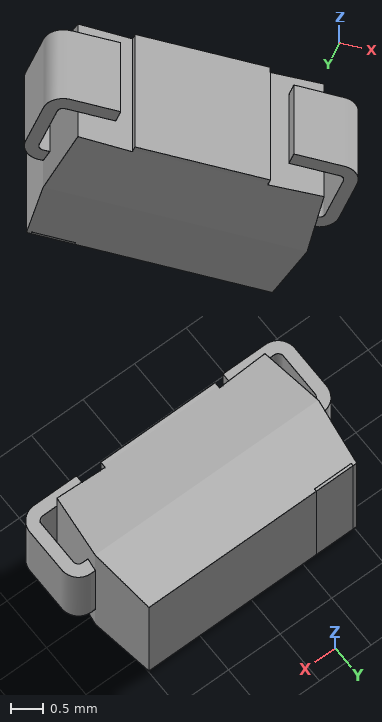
import cadquery as cq
import math

overall_length = 5.14
body_length = 4.33
body_height = 2.56
half_depth = 1.165
end_draft = 7.2
side_draft = 5.0

pad_width = 2.22
pad_projection = 0.075
relief_depth = 0.035

mark_left = -1.945
mark_width = 0.715
mark_depth = 0.045

lead_width = 1.44
lead_thickness = 0.225
bend_radius = 0.325
foot_length = 1.15
foot_bottom = 1.455

face_length = body_length - 2 * half_depth * math.tan(math.radians(end_draft))
face_height = body_height - 2 * half_depth * math.tan(math.radians(side_draft))


def box_between(x_range, y_range, z_range):
    """Axis-aligned box from the low and high limit on each axis."""
    low = [limits[0] for limits in (x_range, y_range, z_range)]
    size = [limits[1] - limits[0] for limits in (x_range, y_range, z_range)]
    return cq.Workplane("XY").box(*size, centered=False).translate(tuple(low))


def make_tapered_half(direction):
    """Half of the molding, from the parting plane to Y = direction * half_depth."""
    return (
        cq.Workplane("XZ")
        .rect(body_length, body_height)
        .workplane(offset=-direction * half_depth)
        .rect(face_length, face_height)
        .loft(ruled=True, combine=True)
    )


def make_relief(side):
    """Wedge removed from the front face between the pad and one body end."""
    pad_edge = side * pad_width / 2
    face_end = side * face_length / 2
    return (
        cq.Workplane("XY")
        .moveTo(pad_edge, -half_depth)
        .lineTo(pad_edge, -half_depth + relief_depth)
        .lineTo(face_end, -half_depth)
        .close()
        .extrude(body_height / 2, both=True)
    )


def make_molding():
    """Complete molding, including the volume taken by the polarity mark."""
    molding = make_tapered_half(1).union(make_tapered_half(-1))
    for side in (-1, 1):
        molding = molding.cut(make_relief(side))
    pad = box_between(
        (-pad_width / 2, pad_width / 2),
        (-half_depth - pad_projection, -half_depth + relief_depth),
        (-face_height / 2, face_height / 2),
    )
    return molding.union(pad)


def make_mark_region():
    """Full-height slab at the back face that separates mark from housing."""
    return box_between(
        (mark_left, mark_left + mark_width),
        (half_depth - mark_depth, half_depth),
        (-body_height / 2, body_height / 2),
    )


def make_lead(side, molding):
    """C-shaped lead that ends against the drafted end face of the molding."""
    outer_x = overall_length / 2
    inner_x = outer_x - lead_thickness
    foot_x = outer_x - foot_length
    root_x = face_length / 2
    inner_radius = bend_radius - lead_thickness
    arc_middle = 1 - math.sqrt(0.5)
    outer_inset = bend_radius * arc_middle
    inner_inset = inner_radius * arc_middle
    foot_top = -foot_bottom + lead_thickness
    lead = (
        cq.Workplane("XY")
        .moveTo(root_x, 0)
        .lineTo(outer_x - bend_radius, 0)
        .threePointArc((outer_x - outer_inset, -outer_inset), (outer_x, -bend_radius))
        .lineTo(outer_x, -foot_bottom + bend_radius)
        .threePointArc(
            (outer_x - outer_inset, -foot_bottom + outer_inset),
            (outer_x - bend_radius, -foot_bottom),
        )
        .lineTo(foot_x, -foot_bottom)
        .lineTo(foot_x, foot_top)
        .lineTo(inner_x - inner_radius, foot_top)
        .threePointArc(
            (inner_x - inner_inset, foot_top + inner_inset),
            (inner_x, foot_top + inner_radius),
        )
        .lineTo(inner_x, -lead_thickness - inner_radius)
        .threePointArc(
            (inner_x - inner_inset, -lead_thickness - inner_inset),
            (inner_x - inner_radius, -lead_thickness),
        )
        .lineTo(root_x, -lead_thickness)
        .close()
        .extrude(lead_width / 2, both=True)
    )
    if side < 0:
        lead = lead.mirror("YZ")
    return lead.cut(molding)


molding = make_molding()
mark_region = make_mark_region()
housing = molding.cut(mark_region)
polarity_mark = molding.intersect(mark_region)
leads = [make_lead(side, molding) for side in (-1, 1)]

result = cq.Compound.makeCompound(
    [housing.solids().val(), polarity_mark.solids().val(), *[lead.solids().val() for lead in leads]]
)